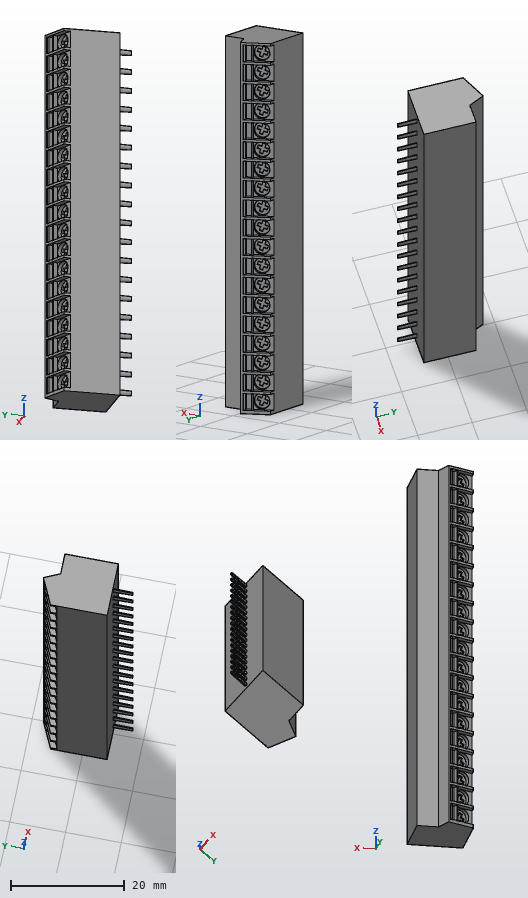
import cadquery as cq
import math

housing_length = 67.1
housing_width = 10.0
peak_depth = 12.4
shoulder_depth = 9.6
peak_x = 4.8
slope_angle = 25.0

pole_count = 19
end_wall = 0.6
pole_pitch = (housing_length - end_wall) / pole_count

opening_height = 3.0
opening_drop = 0.2
recess_length = 4.8
recess_depth = 0.2
pocket_length = 3.15
pocket_depth = 1.1
rib_thickness = 0.3
slot_length = 1.0
slot_depth = 1.1

screw_setback = 1.7
screw_hole_diameter = 2.8
screw_hole_depth = 0.8
cross_span = 1.9
cross_arm_width = 0.6
cross_depth = 0.35
cross_turn = -20.0

pin_x = 5.6
pin_length = 3.5
pin_flat_width = 0.15
pin_base_width = 0.6
pin_base_height = 1.1
pin_tip_width = 0.5
pin_tip_height = 0.9

slope_tangent = math.tan(math.radians(slope_angle))
eaves_depth = peak_depth - peak_x * slope_tangent
shoulder_x = peak_x + (peak_depth - shoulder_depth) * slope_tangent


def pole_z(index):
    """Height of the centre of a pole."""
    return housing_length - (index + 0.5) * pole_pitch


def make_housing():
    outline = [
        (0, 0),
        (housing_width, 0),
        (housing_width, shoulder_depth),
        (shoulder_x, shoulder_depth),
        (peak_x, peak_depth),
        (0, eaves_depth),
    ]
    return cq.Workplane("XY").polyline(outline).close().extrude(housing_length)


def slope_plane(z):
    """Plane on the slope, from its front edge, with local X running up towards the peak."""
    angle = math.radians(slope_angle)
    return cq.Plane(
        origin=(0, eaves_depth, z),
        xDir=(math.cos(angle), math.sin(angle), 0),
        normal=(-math.sin(angle), math.cos(angle), 0),
    )


def make_step(slope, start, end, depth):
    """Box cut square into the slope, reaching as far above the surface as below it."""
    return (
        cq.Workplane(slope)
        .center((start + end) / 2, 0)
        .box(end - start, opening_height, 2 * depth)
    )


def make_screw_hole(slope):
    hole_bottom = pocket_depth + screw_hole_depth
    hole = (
        cq.Workplane(slope)
        .center(screw_setback, 0)
        .circle(screw_hole_diameter / 2)
        .extrude(-hole_bottom)
    )
    for turn in (cross_turn, cross_turn + 90):
        arm = (
            cq.Workplane(slope)
            .center(screw_setback, 0)
            .transformed(rotate=(0, 0, turn))
            .rect(cross_span, cross_arm_width)
            .extrude(-hole_bottom - cross_depth)
        )
        hole = hole.union(arm)
    return hole


def make_pole_openings(z):
    slope = slope_plane(z)
    slot_start = pocket_length + rib_thickness
    recess = make_step(slope, -pocket_length, recess_length, recess_depth)
    pocket = make_step(slope, -pocket_length, pocket_length, pocket_depth)
    wire_slot = make_step(slope, slot_start, slot_start + slot_length, slot_depth)
    return recess.union(pocket).union(wire_slot).union(make_screw_hole(slope))


def add_pin_section(plane, width, height):
    """Outline with two short flats joined by an arc on each side."""
    flat = pin_flat_width / 2
    return (
        plane.moveTo(flat, -height / 2)
        .threePointArc((width / 2, 0), (flat, height / 2))
        .lineTo(-flat, height / 2)
        .threePointArc((-width / 2, 0), (-flat, -height / 2))
        .close()
    )


def make_pin(z):
    root = cq.Workplane("XZ", origin=(pin_x, 0, z))
    base = add_pin_section(root, pin_base_width, pin_base_height)
    tip = add_pin_section(base.workplane(offset=pin_length), pin_tip_width, pin_tip_height)
    return tip.loft()


result = make_housing()
for pole in range(pole_count):
    result = result.cut(make_pole_openings(pole_z(pole) - opening_drop))
    result = result.union(make_pin(pole_z(pole)))